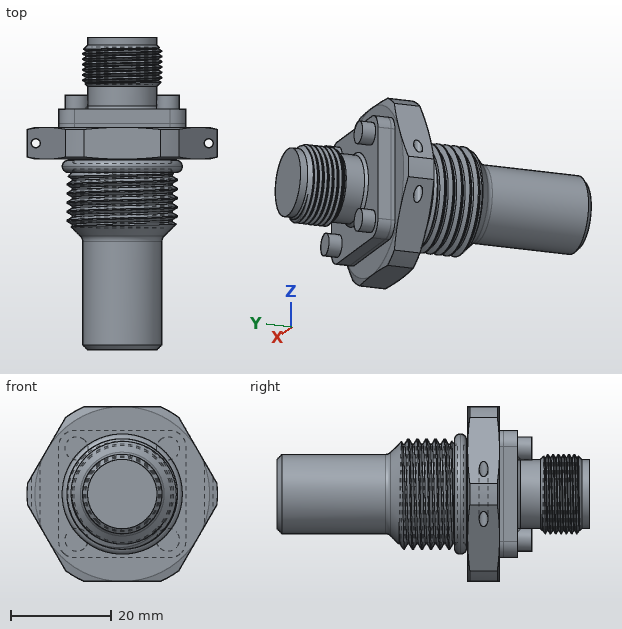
import cadquery as cq
import math


HEX_ACROSS_FLATS = 34.925
HEX_CORNER_DIAMETER = 38.1
HEX_THICKNESS = 6.35
HEX_CHAMFER_ANGLE = 15
WIRE_HOLE_DIAMETER = 1.75
WIRE_HOLE_OFFSET = 17.28

FLANGE_SIDE = 25.4
FLANGE_CORNER_RADIUS = 3.175
FLANGE_THICKNESS = 2.85
GASKET_THICKNESS = 0.8
SCREW_SPACING = 18.26
SCREW_HEAD_DIAMETER = 4.6
SCREW_HEAD_HEIGHT = 2.8

SHELL_RADIUS = 6.93
SHELL_END = 24.34
SHELL_CHAMFER = 0.6
SHELL_THREAD_TOP = 22.8
SHELL_THREAD_BOTTOM = 14.52
SHELL_THREAD_RADIUS = 7.9375
SHELL_THREAD_CORE_RADIUS = 7.29
SHELL_THREAD_PITCH = 25.4 / 24
SHELL_CREST_HEIGHT = 21.57

NECK_RADIUS = 9.7
MOUNT_THREAD_TOP = -2.6
MOUNT_THREAD_RADIUS = 11.05
MOUNT_THREAD_CORE_RADIUS = 10.0
MOUNT_THREAD_PITCH = 25.4 / 14
MOUNT_CREST_HEIGHT = -4.15
RING_TUBE_RADIUS = 1.23
RING_CENTRE_RADIUS = 10.79
RING_HEIGHT = -1.45

PROBE_RADIUS = 7.9375
PROBE_END = -38.1
PROBE_CHAMFER = 1.0
PROBE_SHOULDER = -15.83
PROBE_FILLET = 1.5

GASKET_TOP = HEX_THICKNESS + GASKET_THICKNESS
FLANGE_TOP = GASKET_TOP + FLANGE_THICKNESS

RUNOUT_TURNS = 2
CREST_WIDTH_RATIO = 1 / 8
FLANK_HALF_ANGLE = 30
ROOT_OVERLAP = 0.05
CREST_CLEARANCE = 0.2


def turned(points):
    """Solid of revolution about Z from (radius, height) points."""
    return cq.Workplane("XZ").polyline(points).close().revolve(360, (0, 0, 0), (0, 1, 0))


def disc(radius, bottom, top):
    return cq.Workplane("XY").workplane(offset=bottom).circle(radius).extrude(top - bottom)


def bevelled_cylinder(radius, top_end_radius, bottom_end_radius, bottom, top):
    """Cylinder whose ends narrow at 45 degrees to the given radii."""
    return turned([
        (0, bottom),
        (bottom_end_radius, bottom),
        (radius, bottom + radius - bottom_end_radius),
        (radius, top - (radius - top_end_radius)),
        (top_end_radius, top),
        (0, top),
    ])


def thread_ridge(radius, core_radius, pitch, crest_height, bottom, top):
    """Right-handed helical ridge that runs past both ends of the thread."""
    turns_below = math.ceil((crest_height - bottom) / pitch) + 1
    start = crest_height - turns_below * pitch
    length = math.ceil((top - start) / pitch + 1) * pitch
    root_radius = core_radius - ROOT_OVERLAP
    crest_half = pitch * CREST_WIDTH_RATIO / 2
    root_half = crest_half + (radius - root_radius) * math.tan(math.radians(FLANK_HALF_ANGLE))
    path = cq.Wire.makeHelix(pitch, length, root_radius, center=cq.Vector(0, 0, start))
    profile = cq.Workplane("XZ").polyline([
        (root_radius, start - root_half),
        (radius, start - crest_half),
        (radius, start + crest_half),
        (root_radius, start + root_half),
    ]).close()
    return profile.sweep(cq.Workplane(path), isFrenet=True)


def threaded(radius, core_radius, top_radius, bottom_radius, pitch, crest_height, bottom, top):
    """Threaded length trimmed at both ends by 45 degree bevels."""
    envelope = bevelled_cylinder(radius + CREST_CLEARANCE, top_radius, bottom_radius, bottom, top)
    ridge = thread_ridge(radius, core_radius, pitch, crest_height, bottom, top)
    core = disc(core_radius, bottom - RUNOUT_TURNS * pitch, top + RUNOUT_TURNS * pitch)
    return core.union(ridge).intersect(envelope)


def hex_body():
    across_corners = HEX_ACROSS_FLATS / math.cos(math.radians(30))
    hexagon = cq.Workplane("XY").polygon(6, across_corners).extrude(HEX_THICKNESS)
    face_radius = HEX_ACROSS_FLATS / 2
    corner_radius = HEX_CORNER_DIAMETER / 2
    drop = (corner_radius - face_radius) * math.tan(math.radians(HEX_CHAMFER_ANGLE))
    blank = turned([
        (0, 0),
        (face_radius, 0),
        (corner_radius, drop),
        (corner_radius, HEX_THICKNESS - drop),
        (face_radius, HEX_THICKNESS),
        (0, HEX_THICKNESS),
    ])
    wire_holes = (
        cq.Workplane("XZ")
        .pushPoints([(x, HEX_THICKNESS / 2) for x in (-WIRE_HOLE_OFFSET, WIRE_HOLE_OFFSET)])
        .circle(WIRE_HOLE_DIAMETER / 2)
        .extrude(HEX_ACROSS_FLATS / 2, both=True)
    )
    return hexagon.intersect(blank).cut(wire_holes)


def square_plate(bottom, thickness):
    plate = cq.Workplane("XY").workplane(offset=bottom).rect(FLANGE_SIDE, FLANGE_SIDE).extrude(thickness)
    return plate.edges("|Z").fillet(FLANGE_CORNER_RADIUS)


def screw_heads():
    return (
        cq.Workplane("XY")
        .workplane(offset=FLANGE_TOP)
        .rect(SCREW_SPACING, SCREW_SPACING, forConstruction=True)
        .vertices()
        .circle(SCREW_HEAD_DIAMETER / 2)
        .extrude(SCREW_HEAD_HEIGHT)
    )


def connector_shell():
    shell = turned([
        (0, FLANGE_TOP),
        (SHELL_RADIUS + SHELL_CHAMFER, FLANGE_TOP),
        (SHELL_RADIUS, FLANGE_TOP + SHELL_CHAMFER),
        (SHELL_RADIUS, SHELL_END),
        (0, SHELL_END),
    ])
    thread = threaded(
        SHELL_THREAD_RADIUS, SHELL_THREAD_CORE_RADIUS, SHELL_RADIUS, SHELL_RADIUS,
        SHELL_THREAD_PITCH, SHELL_CREST_HEIGHT, SHELL_THREAD_BOTTOM, SHELL_THREAD_TOP,
    )
    return shell.union(thread)


def mounting_thread():
    thread = threaded(
        MOUNT_THREAD_RADIUS, MOUNT_THREAD_CORE_RADIUS, MOUNT_THREAD_CORE_RADIUS, PROBE_RADIUS,
        MOUNT_THREAD_PITCH, MOUNT_CREST_HEIGHT, PROBE_SHOULDER, MOUNT_THREAD_TOP,
    )
    return thread.union(disc(NECK_RADIUS, MOUNT_THREAD_TOP, 0))


def sealing_ring():
    return (
        cq.Workplane("XZ")
        .center(RING_CENTRE_RADIUS, RING_HEIGHT)
        .circle(RING_TUBE_RADIUS)
        .revolve(360, (-RING_CENTRE_RADIUS, 0, 0), (-RING_CENTRE_RADIUS, 1, 0))
    )


def probe():
    """Probe rod with a bevelled tip and a rounded root where it meets the 45 degree shoulder."""
    tangent = PROBE_FILLET * math.tan(math.radians(45 / 2))
    slant = tangent * math.sin(math.radians(45))
    middle = PROBE_FILLET * (1 - math.cos(math.radians(45 / 2)))
    middle_height = PROBE_SHOULDER - tangent + PROBE_FILLET * math.sin(math.radians(45 / 2))
    return (
        cq.Workplane("XZ")
        .moveTo(0, PROBE_END)
        .lineTo(PROBE_RADIUS - PROBE_CHAMFER, PROBE_END)
        .lineTo(PROBE_RADIUS, PROBE_END + PROBE_CHAMFER)
        .lineTo(PROBE_RADIUS, PROBE_SHOULDER - tangent)
        .threePointArc(
            (PROBE_RADIUS + middle, middle_height),
            (PROBE_RADIUS + slant, PROBE_SHOULDER + slant),
        )
        .lineTo(0, PROBE_SHOULDER + slant)
        .close()
        .revolve(360, (0, 0, 0), (0, 1, 0))
    )


standing_part = (
    hex_body()
    .union(square_plate(HEX_THICKNESS, GASKET_THICKNESS))
    .union(square_plate(GASKET_TOP, FLANGE_THICKNESS), clean=False)
    .union(screw_heads(), clean=False)
    .union(connector_shell(), clean=False)
    .union(mounting_thread(), clean=False)
    .union(sealing_ring(), clean=False)
    .union(probe(), clean=False)
)

result = standing_part.rotate((0, 0, 0), (1, 0, 0), -90)